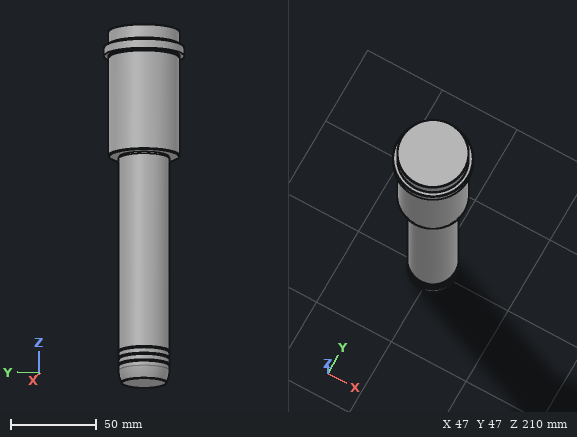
import cadquery as cq

total_length = 210.0
shoulder_z = 135.2
collar_bottom_z = 195.3
collar_top_z = 200.8
tip_length = 7.5

body_diameter = 42.0
collar_diameter = 47.0
pin_diameter = 30.0
tip_diameter = 26.7

body_chamfer = 0.6
head_chamfer = 0.5
collar_chamfer = 0.5
collar_groove_width = 1.3
collar_groove_depth = 0.8
pin_neck_length = 1.3
pin_neck_depth = 0.6
tip_chamfer = 0.5
tip_bulge = 0.5
groove_width = 1.0
groove_depth = 0.5
lowest_groove_z = 10.5
groove_pitch = 4.0
groove_count = 3


def disc(diameter, bottom_z, top_z):
    """Cylinder on the Z axis between two heights."""
    return cq.Workplane("XY").workplane(offset=bottom_z).circle(diameter / 2).extrude(top_z - bottom_z)


def cut_v_groove(solid, diameter, depth, middle_z, width):
    """Cut a V groove around a cylinder on the Z axis."""
    surface_radius = diameter / 2
    section = [
        (surface_radius, middle_z - width / 2),
        (surface_radius - depth, middle_z),
        (surface_radius, middle_z + width / 2),
    ]
    ring = cq.Workplane("XZ").polyline(section).close().revolve(360, (0, 0, 0), (0, 1, 0))
    return solid.cut(ring)


def make_body():
    """Sleeve and head with a V groove on both sides of the collar."""
    body = disc(body_diameter, shoulder_z, total_length)
    body = body.faces("<Z").chamfer(body_chamfer)
    body = body.faces(">Z").chamfer(head_chamfer)
    half_width = collar_groove_width / 2
    for groove_middle_z in (collar_bottom_z - half_width, collar_top_z + half_width):
        body = cut_v_groove(body, body_diameter, collar_groove_depth, groove_middle_z, collar_groove_width)
    collar = disc(collar_diameter, collar_bottom_z, collar_top_z).faces(">Z").chamfer(collar_chamfer)
    return body.union(collar)


def make_pin():
    """Pin with a rounded nose, three grooves and a bevel below the sleeve."""
    pin_radius = pin_diameter / 2
    tip_radius = tip_diameter / 2
    nose_middle = ((pin_radius + tip_radius) / 2 + tip_bulge, (tip_length + tip_chamfer) / 2)
    neck_radius = pin_radius - pin_neck_depth
    profile = (
        cq.Workplane("XZ")
        .lineTo(tip_radius - tip_chamfer, 0)
        .lineTo(tip_radius, tip_chamfer)
        .threePointArc(nose_middle, (pin_radius, tip_length))
        .lineTo(pin_radius, shoulder_z - pin_neck_length)
        .lineTo(neck_radius, shoulder_z)
        .lineTo(0, shoulder_z)
        .close()
    )
    pin = profile.revolve(360, (0, 0, 0), (0, 1, 0))
    for index in range(groove_count):
        groove_z = lowest_groove_z + index * groove_pitch
        pin = cut_v_groove(pin, pin_diameter, groove_depth, groove_z, groove_width)
    return pin


result = make_body().union(make_pin())